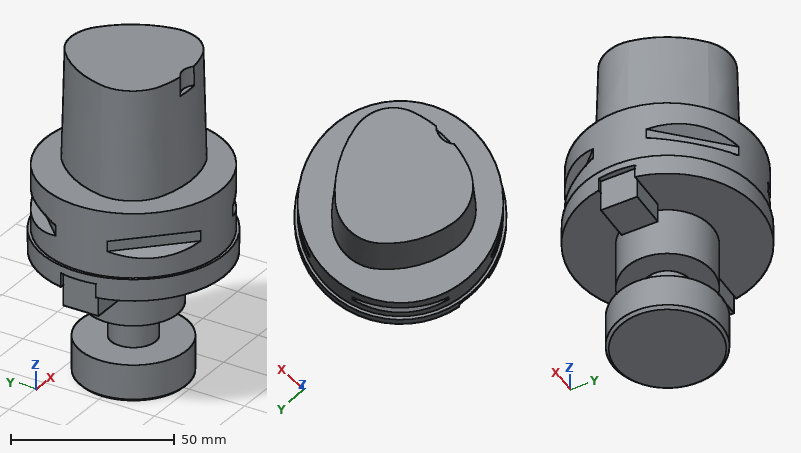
import cadquery as cq
import math


shank_length = 38.0
lobe_reach = 23.43
flank_reach = 20.50
lobe_radius = 15.0
shank_taper = math.degrees(math.atan(1 / 40))
lobe_pitch = 120
half_pitch = lobe_pitch / 2
lobe_angles = [90 + i * lobe_pitch for i in range(3)]

notch_depth = 6.6
notch_radius = 5.8
notch_floor = 17.85

body_diameter = 63.0
body_length = 30.0
flange_diameter = 65.0
flange_thickness = 7.5

groove_depth_below_shoulder = 12.0
groove_floor_width = 3.5
groove_floor_distance = 27.85
groove_wall_angle = 30.0
groove_angles = (45, 135, 225, 315)

key_width = 12.7
key_inner_reach = 17.5
key_outer_reach = 30.5
key_projection = 7.1
key_slot_depth = 4.8
key_angles = (0, 180)

pilot_diameter = 31.75
pilot_length = 18.0
neck_diameter = 15.88
neck_length = 12.0
head_diameter = 38.0
head_thickness = 13.0
head_chamfer = 1.0

driving_face = -body_length
pilot_end = driving_face - pilot_length
neck_end = pilot_end - neck_length


def polar(radius, angle):
    """Point at a distance and an angle in degrees around the axis."""
    return (radius * math.cos(math.radians(angle)), radius * math.sin(math.radians(angle)))


def disc(diameter, top, height):
    """Cylinder on the axis, hanging down from the level top."""
    return cq.Workplane("XY").workplane(offset=top - height).circle(diameter / 2).extrude(height)


def make_shank():
    lobe_offset = lobe_reach - lobe_radius
    flank_radius = (
        lobe_radius**2 - flank_reach**2 - lobe_offset**2 + flank_reach * lobe_offset
    ) / (lobe_offset - 2 * flank_reach + 2 * lobe_radius)
    flank_offset = flank_radius - flank_reach

    half_flank_angle = math.atan2(
        lobe_offset * math.sin(math.radians(half_pitch)),
        flank_offset + lobe_offset * math.cos(math.radians(half_pitch)),
    )
    joint_along = flank_radius * math.cos(half_flank_angle) - flank_offset
    joint_across = flank_radius * math.sin(half_flank_angle)
    joint_reach = math.hypot(joint_along, joint_across)
    joint_from_lobe = half_pitch - math.degrees(math.atan2(joint_across, joint_along))

    outline = cq.Workplane("XY").moveTo(*polar(joint_reach, lobe_angles[0] - joint_from_lobe))
    for angle in lobe_angles:
        lobe_end = polar(joint_reach, angle + joint_from_lobe)
        flank_end = polar(joint_reach, angle + lobe_pitch - joint_from_lobe)
        outline = outline.threePointArc(polar(lobe_reach, angle), lobe_end)
        outline = outline.threePointArc(polar(flank_reach, angle + half_pitch), flank_end)
    return outline.close().extrude(shank_length, taper=shank_taper)


def make_notch():
    return (
        cq.Workplane("XY")
        .workplane(offset=shank_length - notch_depth)
        .center(0, -notch_floor - notch_radius)
        .circle(notch_radius)
        .extrude(notch_depth)
    )


def make_groove(angle):
    """Straight trapezoidal groove across the body, facing the given angle."""
    outer = flange_diameter / 2
    floor_half = groove_floor_width / 2
    mouth_half = floor_half + (outer - groove_floor_distance) * math.tan(math.radians(groove_wall_angle))
    return (
        cq.Workplane("XZ")
        .polyline([
            (groove_floor_distance, floor_half),
            (outer, mouth_half),
            (outer, -mouth_half),
            (groove_floor_distance, -floor_half),
        ])
        .close()
        .extrude(body_diameter / 2, both=True)
        .translate((0, 0, -groove_depth_below_shoulder))
        .rotate((0, 0, 0), (0, 0, 1), angle)
    )


def radial_block(inner, outer, bottom, top, angle):
    """Block of key width between two distances from the axis."""
    return (
        cq.Workplane("XY")
        .box(outer - inner, key_width, top - bottom, centered=(False, True, False))
        .translate((inner, 0, bottom))
        .rotate((0, 0, 0), (0, 0, 1), angle)
    )


def make_body():
    body = disc(body_diameter, 0, body_length)
    body = body.union(disc(flange_diameter, driving_face + flange_thickness, flange_thickness))
    for angle in groove_angles:
        body = body.cut(make_groove(angle))
    slot_top = driving_face + key_slot_depth
    for angle in key_angles:
        slot = radial_block(key_inner_reach, flange_diameter / 2, driving_face, slot_top, angle)
        key = radial_block(
            key_inner_reach, key_outer_reach, driving_face - key_projection, slot_top, angle
        )
        body = body.cut(slot).union(key)
    return body


def make_pilot_and_screw():
    pilot = disc(pilot_diameter, driving_face, pilot_length)
    neck = disc(neck_diameter, pilot_end, neck_length)
    head = disc(head_diameter, neck_end, head_thickness).faces("<Z").chamfer(head_chamfer)
    return pilot.union(neck).union(head)


shank = make_shank().cut(make_notch())
result = shank.union(make_body()).union(make_pilot_and_screw())